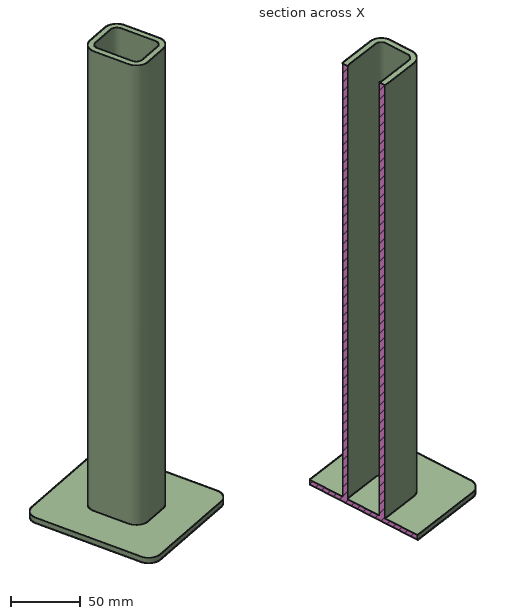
import cadquery as cq

total_height = 405.0

plate_length = 110.0
plate_width = 100.0
plate_thickness = 5.0
plate_corner_radius = 10.0

post_length = 50.0
post_width = 40.0
post_corner_radius = 10.0
wall = 5.0
post_height = total_height - plate_thickness


def rounded_block(length, width, height, corner_radius):
    """Upright block centred on Z, standing on Z = 0, with rounded vertical edges."""
    block = cq.Workplane("XY").box(length, width, height, centered=(True, True, False))
    return block.edges("|Z").fillet(corner_radius)


def hollow_post():
    """Open tube with a constant wall thickness."""
    outside = rounded_block(post_length, post_width, post_height, post_corner_radius)
    bore = rounded_block(
        post_length - 2 * wall,
        post_width - 2 * wall,
        post_height,
        post_corner_radius - wall,
    )
    return outside.cut(bore)


plate = rounded_block(plate_length, plate_width, plate_thickness, plate_corner_radius)
result = plate.union(hollow_post().translate((0, 0, plate_thickness)))